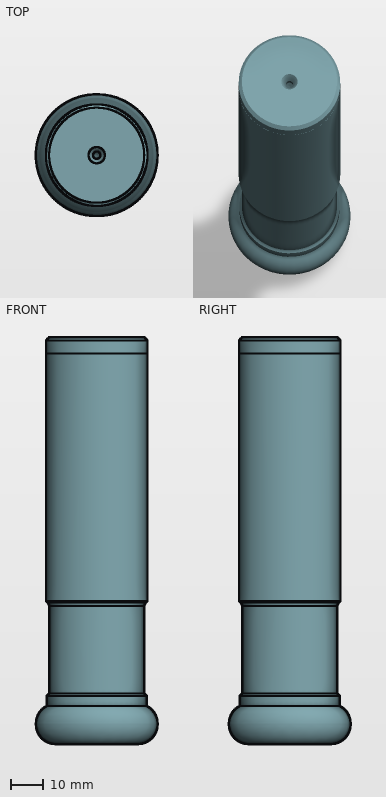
import cadquery as cq
import math

total_height = 127.0
bead_radius = 6.4
bead_center_radius = 12.7

barrel_radius = 15.9
neck_radius = 14.9
collar_radius = 15.6
collar_top = 15.1
barrel_bottom = 44.7
shoulder_break_radius = 15.2
shoulder_bottom = 43.2
shoulder_break_height = 44.2
top_chamfer = 1.0
lead_in_length = 5.1
lead_in_clearance = 0.03

countersink_radius = 2.5
pilot_radius = 1.1
countersink_depth = 2.4
pilot_depth = 3.8
drill_point_angle = 118.0

foot_top = bead_radius + math.sqrt(bead_radius**2 - (collar_radius - bead_center_radius) ** 2)
lead_in_bottom = total_height - lead_in_length
lead_in_radius = barrel_radius - lead_in_clearance


def revolve_about_z(profile):
    """Turn a closed radius-height profile about the Z axis."""
    return profile.revolve(360, (0, 0, 0), (0, 1, 0))


def make_foot():
    """Round foot with a full-radius rim and a flat seat for the pin."""
    rim_radius = bead_center_radius + bead_radius
    diagonal = bead_radius * math.sqrt(0.5)
    upper_angle = math.asin((foot_top - bead_radius) / bead_radius) / 2
    upper_middle = (
        bead_center_radius + bead_radius * math.cos(upper_angle),
        bead_radius + bead_radius * math.sin(upper_angle),
    )
    profile = (
        cq.Workplane("XZ")
        .lineTo(bead_center_radius, 0)
        .threePointArc(
            (bead_center_radius + diagonal, bead_radius - diagonal),
            (rim_radius, bead_radius),
        )
        .threePointArc(upper_middle, (collar_radius, foot_top))
        .lineTo(0, foot_top)
        .close()
    )
    return revolve_about_z(profile)


def make_center_hole():
    """Cutter for the centre hole in the top face."""
    point_depth = pilot_radius / math.tan(math.radians(drill_point_angle / 2))
    profile = (
        cq.Workplane("XZ")
        .moveTo(0, total_height)
        .lineTo(countersink_radius, total_height)
        .lineTo(pilot_radius, total_height - countersink_depth)
        .lineTo(pilot_radius, total_height - pilot_depth)
        .lineTo(0, total_height - pilot_depth - point_depth)
        .close()
    )
    return revolve_about_z(profile)


def make_pin():
    """Turned pin: chamfered collar, neck, two-slope shoulder, barrel and slightly slimmer lead-in."""
    profile = (
        cq.Workplane("XZ")
        .moveTo(0, foot_top)
        .lineTo(collar_radius, foot_top)
        .lineTo(collar_radius, collar_top)
        .lineTo(neck_radius, collar_top + collar_radius - neck_radius)
        .lineTo(neck_radius, shoulder_bottom)
        .lineTo(shoulder_break_radius, shoulder_break_height)
        .lineTo(barrel_radius, barrel_bottom)
        .lineTo(barrel_radius, lead_in_bottom)
        .lineTo(lead_in_radius, lead_in_bottom)
        .lineTo(lead_in_radius, total_height - top_chamfer)
        .lineTo(lead_in_radius - top_chamfer, total_height)
        .lineTo(0, total_height)
        .close()
    )
    return revolve_about_z(profile).cut(make_center_hole())


foot = make_foot()
pin = make_pin()

result = cq.Compound.makeCompound([foot.val(), pin.val()])